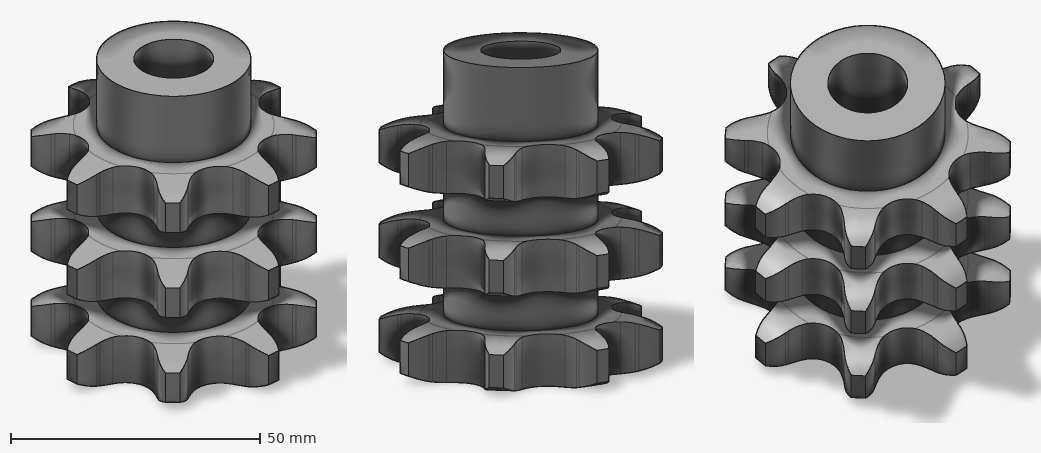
import cadquery as cq
import math


TOOTH_COUNT = 8
CHAIN_PITCH = 19.05
ROLLER_DIAMETER = 11.9
TIP_DIAMETER = 57.25
SEATING_CLEARANCE = 0.04

ROW_COUNT = 3
ROW_SPACING = 19.5
PLATE_THICKNESS = 10.8
CROWN_START_RADIUS = 20.15
CROWN_DROP = 2.0

TOTAL_HEIGHT = 65.0
HUB_DIAMETER = 31.0
BORE_DIAMETER = 16.0

HALF_STEP = 180.0 / TOOTH_COUNT
PITCH_RADIUS = CHAIN_PITCH / 2 / math.sin(math.radians(HALF_STEP))
TIP_RADIUS = TIP_DIAMETER / 2
SEATING_RADIUS = 1.005 * ROLLER_DIAMETER / 2 + SEATING_CLEARANCE
SEATING_ANGLE = 35 + 60 / TOOTH_COUNT
WORKING_SWEEP = 18 - 56 / TOOTH_COUNT
FLAT_ANGLE = SEATING_ANGLE - WORKING_SWEEP
WORKING_OFFSET = 0.8 * ROLLER_DIAMETER
WORKING_RADIUS = SEATING_RADIUS + WORKING_OFFSET
TOPPING_OFFSET = 1.4 * ROLLER_DIAMETER
TOPPING_RADIUS = (
    WORKING_OFFSET * math.cos(math.radians(WORKING_SWEEP))
    + TOPPING_OFFSET * math.cos(math.radians(FLAT_ANGLE - HALF_STEP))
    - WORKING_RADIUS
)


def from_point(center, radius, angle):
    """Point at a distance and an angle in degrees from a center."""
    turn = math.radians(angle)
    return center[0] + radius * math.cos(turn), center[1] + radius * math.sin(turn)


def turned(point, angle):
    """Point turned about the sprocket axis by an angle in degrees."""
    radius = math.hypot(*point)
    return from_point((0, 0), radius, math.degrees(math.atan2(point[1], point[0])) + angle)


def flank_points():
    """Right flank of the gap centered on +Y, from the root to the pointed tooth apex."""
    seat = (0, PITCH_RADIUS)
    working_center = from_point(seat, WORKING_OFFSET, 180 - SEATING_ANGLE)
    topping_center = from_point(seat, TOPPING_OFFSET, -HALF_STEP)

    seat_end = from_point(seat, SEATING_RADIUS, -SEATING_ANGLE)
    working_middle = from_point(working_center, WORKING_RADIUS, WORKING_SWEEP / 2 - SEATING_ANGLE)
    working_end = from_point(working_center, WORKING_RADIUS, -FLAT_ANGLE)

    tooth_line_distance = TOPPING_OFFSET - CHAIN_PITCH / 2
    topping_start_angle = 180 - FLAT_ANGLE
    apex_angle = 180 - HALF_STEP - math.degrees(math.acos(tooth_line_distance / TOPPING_RADIUS))
    topping_start = from_point(topping_center, TOPPING_RADIUS, topping_start_angle)
    topping_middle = from_point(topping_center, TOPPING_RADIUS, (topping_start_angle + apex_angle) / 2)
    apex = from_point(topping_center, TOPPING_RADIUS, apex_angle)
    return seat_end, working_middle, working_end, topping_start, topping_middle, apex


def tooth_prism():
    """Plate-thick prism of the full tooth outline with pointed teeth."""
    flank = flank_points()
    root = (0, PITCH_RADIUS - SEATING_RADIUS)
    apex_x, apex_y = flank[-1]
    outline = cq.Workplane("XY").moveTo(-apex_x, apex_y)
    for gap in range(TOOTH_COUNT):
        angle = -gap * 2 * HALF_STEP
        left = [turned((-x, y), angle) for x, y in flank]
        right = [turned(point, angle) for point in flank]
        left_seat, left_working_mid, left_flat_low, left_flat_high, left_topping_mid, _ = left
        right_seat, right_working_mid, right_flat_low, right_flat_high, right_topping_mid, right_apex = right
        outline = (
            outline
            .threePointArc(left_topping_mid, left_flat_high)
            .lineTo(*left_flat_low)
            .threePointArc(left_working_mid, left_seat)
            .threePointArc(turned(root, angle), right_seat)
            .threePointArc(right_working_mid, right_flat_low)
            .lineTo(*right_flat_high)
            .threePointArc(right_topping_mid, right_apex)
        )
    return outline.close().extrude(PLATE_THICKNESS)


def crowned_disc():
    """Round plate whose faces curve down, tangent to the flat, to the tip cylinder."""
    width = TIP_RADIUS - CROWN_START_RADIUS
    crown_radius = (width**2 + CROWN_DROP**2) / (2 * CROWN_DROP)
    half_sweep = math.asin(width / crown_radius) / 2
    middle_radius = CROWN_START_RADIUS + crown_radius * math.sin(half_sweep)
    middle_drop = crown_radius * (1 - math.cos(half_sweep))
    return (
        cq.Workplane("XZ")
        .lineTo(CROWN_START_RADIUS, 0)
        .threePointArc((middle_radius, middle_drop), (TIP_RADIUS, CROWN_DROP))
        .lineTo(TIP_RADIUS, PLATE_THICKNESS - CROWN_DROP)
        .threePointArc((middle_radius, PLATE_THICKNESS - middle_drop), (CROWN_START_RADIUS, PLATE_THICKNESS))
        .lineTo(0, PLATE_THICKNESS)
        .close()
        .revolve(360, (0, 0), (0, 1))
    )


toothed_plate = tooth_prism().intersect(crowned_disc())
body = cq.Workplane("XY").circle(HUB_DIAMETER / 2).extrude(TOTAL_HEIGHT)
for row in range(ROW_COUNT):
    body = body.union(toothed_plate.translate((0, 0, row * ROW_SPACING)))

bore = cq.Workplane("XY").circle(BORE_DIAMETER / 2).extrude(TOTAL_HEIGHT)
result = body.cut(bore)